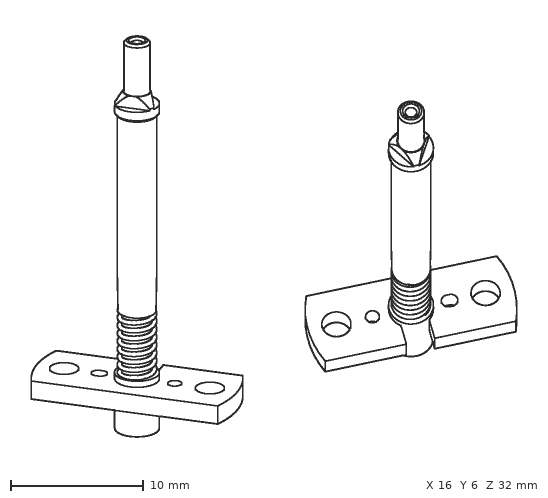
import cadquery as cq
import math

total_height = 32.0

plate_end_radius = 8.0
plate_width = 6.0
plate_bottom = 2.6
plate_thickness = 1.5
notch_width = 2.2
mount_hole_diameter = 2.2
mount_hole_offset = 5.8
locating_hole_diameter = 1.05
locating_slot_length = 1.25
locating_offset = 3.0

collar_radius = 1.7
base_top = 4.6
barrel_radius = 1.5
taper_bottom = 9.7
taper_bottom_radius = 1.45
taper_top = 12.7

collar_bottom = 25.9
shoulder_bottom = 26.8
shoulder_height = 1.0
shoulder_rim_height = 0.12
shoulder_top_radius = 1.06
shoulder_flat_distance = 1.03
tip_radius = 1.0
tip_chamfer = 0.2
socket_radius = 0.43
socket_depth = 1.5
socket_chamfer = 0.2
pilot_radius = 0.2
pilot_depth = 2.5

core_radius = 1.15
coil_radius = 1.32
coil_pitch = 0.65
coil_start = 4.21


def cylinder(radius, bottom, top):
    """Round bar on the shaft axis between two heights."""
    return cq.Workplane("XY").workplane(offset=bottom).circle(radius).extrude(top - bottom)


def turned(profile):
    """Solid of revolution about the shaft axis from (radius, height) points."""
    return cq.Workplane("XZ").polyline(profile).close().revolve(360, (0, 0), (0, 1))


def plate_plane(x=0, y=0):
    """Fresh workplane on the underside of the plate, centred on the given point."""
    return cq.Workplane("XY", origin=(x, y, plate_bottom))


def make_plate():
    """Bar with rounded ends, two mounting holes, a locating hole and slot, and an edge notch."""
    disc = plate_plane().circle(plate_end_radius).extrude(plate_thickness)
    bar = plate_plane().rect(2 * plate_end_radius, plate_width).extrude(plate_thickness)
    plate = disc.intersect(bar)

    cutouts = [
        plate_plane(-mount_hole_offset).circle(mount_hole_diameter / 2),
        plate_plane(mount_hole_offset).circle(mount_hole_diameter / 2),
        plate_plane(locating_offset).circle(locating_hole_diameter / 2),
        plate_plane(-locating_offset).slot2D(locating_slot_length, locating_hole_diameter),
        plate_plane(0, plate_width / 4).rect(notch_width, plate_width / 2),
    ]
    for cutout in cutouts:
        plate = plate.cut(cutout.extrude(plate_thickness))
    return plate


def make_barrel():
    """Turned profile from the base stud up to the top of the upper collar."""
    profile = [
        (0, 0),
        (collar_radius, 0),
        (collar_radius, base_top),
        (core_radius, base_top),
        (core_radius, taper_bottom),
        (taper_bottom_radius, taper_bottom),
        (barrel_radius, taper_top),
        (barrel_radius, collar_bottom),
        (collar_radius, collar_bottom + collar_radius - barrel_radius),
        (collar_radius, shoulder_bottom),
        (0, shoulder_bottom),
    ]
    return turned(profile)


def make_shoulder():
    """Cone on a short rim, trimmed by three flats that leave one corner toward +Y."""
    profile = [
        (0, shoulder_bottom),
        (collar_radius, shoulder_bottom),
        (collar_radius, shoulder_bottom + shoulder_rim_height),
        (shoulder_top_radius, shoulder_bottom + shoulder_height),
        (0, shoulder_bottom + shoulder_height),
    ]
    cone = turned(profile)
    corner_distance = 2 * shoulder_flat_distance
    angles = [math.radians(degrees) for degrees in (90, 210, 330)]
    corners = [(corner_distance * math.cos(a), corner_distance * math.sin(a)) for a in angles]
    prism = cq.Workplane("XY").workplane(offset=shoulder_bottom).polyline(corners).close()
    return cone.intersect(prism.extrude(shoulder_height))


def make_tip():
    """Chamfered tip pin with a countersunk blind socket in its end and a smaller pilot bore below it."""
    tip = cylinder(tip_radius, shoulder_bottom, total_height).faces(">Z").chamfer(tip_chamfer)
    mouth_radius = socket_radius + socket_chamfer
    profile = [
        (0, total_height - pilot_depth),
        (pilot_radius, total_height - pilot_depth),
        (pilot_radius, total_height - socket_depth),
        (socket_radius, total_height - socket_depth),
        (socket_radius, total_height - socket_chamfer),
        (mouth_radius, total_height),
        (0, total_height),
    ]
    socket = turned(profile)
    return tip.cut(socket)


def make_coil():
    """Right-handed coil of round wire sunk into the core, trimmed to the gap below the barrel."""
    wire_radius = barrel_radius - coil_radius
    coil_length = taper_bottom + coil_pitch - coil_start
    helix = cq.Wire.makeHelix(coil_pitch, coil_length, coil_radius)
    path = cq.Workplane(helix.translate(cq.Vector(0, 0, coil_start)))
    section = cq.Workplane("XZ", origin=(coil_radius, 0, coil_start)).circle(wire_radius)
    coil = section.sweep(path, isFrenet=True)
    core = cylinder(core_radius, coil_start - coil_pitch, taper_bottom + 2 * coil_pitch)
    return core.union(coil).intersect(cylinder(collar_radius, base_top, taper_bottom))


result = make_barrel()
for section in (make_coil(), make_plate(), make_shoulder(), make_tip()):
    result = result.union(section)